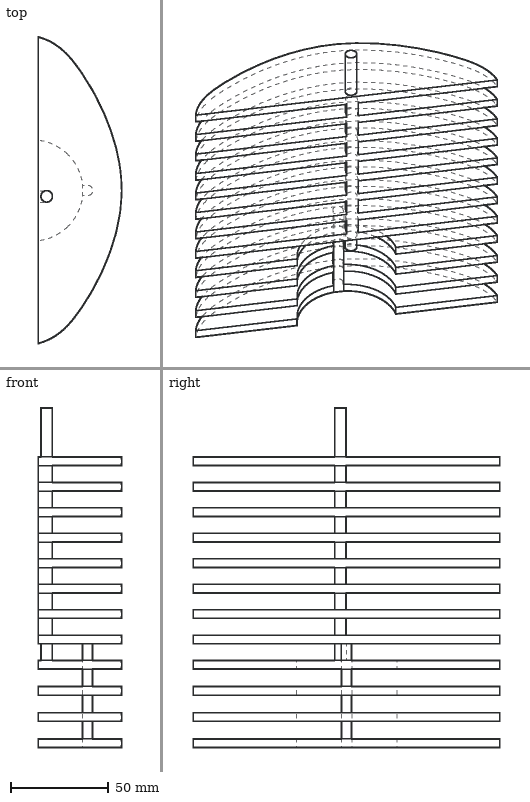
import cadquery as cq

total_height = 175.0
plate_depth = 43.0
half_width = 78.99

edge_points = [(33.5, 40.8), (21.9, 61.2), (11.9, 72.8), (0, half_width)]

plate_thickness = 4.5
stack_height = 149.8
upper_count = 8
upper_pitch = 13.1
lower_count = 4
lower_pitch = 13.5
upper_bottom = stack_height - plate_thickness - (upper_count - 1) * upper_pitch

notch_depth = 23.0
notch_half_width = 25.9

rod_radius = 3.0
rod_x = 4.4
rod_y = -3.1
rod_bottom = (lower_count - 1) * lower_pitch + plate_thickness

post_radius = 2.6
post_x = 25.4
web_projection = 0.2
post_web_front = notch_depth - web_projection


def make_plate(bottom):
    """Bow-shaped plate with a straight edge on X = 0."""
    lower_half = [(x, -y) for x, y in reversed(edge_points)]
    curve_points = lower_half + [(plate_depth, 0)] + edge_points
    return (
        cq.Workplane("XY", origin=(0, 0, bottom))
        .spline(curve_points)
        .close()
        .extrude(plate_thickness)
    )


def make_notch(bottom):
    """Cutter for the arc-shaped notch of one plate."""
    return (
        cq.Workplane("XY", origin=(0, 0, bottom))
        .moveTo(0, -notch_half_width)
        .threePointArc((notch_depth, 0), (0, notch_half_width))
        .close()
        .extrude(plate_thickness)
    )


def make_cylinder(x, y, radius, bottom, top):
    return cq.Workplane("XY", origin=(x, y, bottom)).circle(radius).extrude(top - bottom)


def make_web(x_start, x_end, y, width, bottom, top):
    """Flat-sided upright between two X positions, centred on y."""
    return cq.Workplane("XY", origin=(x_start, y, bottom)).box(
        x_end - x_start, width, top - bottom, centered=(False, True, False)
    )


result = make_cylinder(rod_x, rod_y, rod_radius, rod_bottom, total_height)
result = result.union(make_web(0, rod_x, rod_y, 2 * rod_radius, upper_bottom, stack_height))
for index in range(upper_count):
    result = result.union(make_plate(upper_bottom + index * upper_pitch))

result = result.union(make_cylinder(post_x, 0, post_radius, 0, upper_bottom))
result = result.union(make_web(post_web_front, post_x, 0, 2 * post_radius, 0, upper_bottom))
for index in range(lower_count):
    bottom = index * lower_pitch
    result = result.union(make_plate(bottom).cut(make_notch(bottom)))